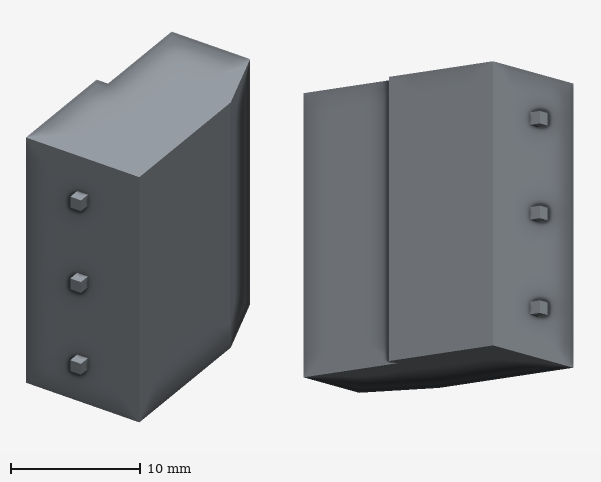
import cadquery as cq

height = 22.5
width = 10.5
overall_depth = 20.0
pin_length = 1.0
housing_depth = overall_depth - pin_length

step_depth = 1.05
step_length = 9.0
slope_width = 2.18
slope_length = 6.08

pin_size = 1.0
pin_count = 3
pin_pitch = height / pin_count


def make_housing():
    """Profile in the XY plane, front face on Y = 0, extruded evenly about Z = 0."""
    left = -width / 2
    right = width / 2
    rear = housing_depth
    return (
        cq.Workplane("XY")
        .moveTo(left, 0)
        .lineTo(right, 0)
        .lineTo(right, rear - slope_length)
        .lineTo(right - slope_width, rear)
        .lineTo(left + step_depth, rear)
        .lineTo(left + step_depth, rear - step_length)
        .lineTo(left, rear - step_length)
        .close()
        .extrude(height / 2, both=True)
    )


def make_pins():
    """Column of pins projecting from the front face toward -Y."""
    return (
        cq.Workplane("XZ")
        .rarray(0.22, pin_pitch, 1, pin_count)
        .rect(pin_size, pin_size)
        .extrude(pin_length)
    )


result = make_housing().union(make_pins())